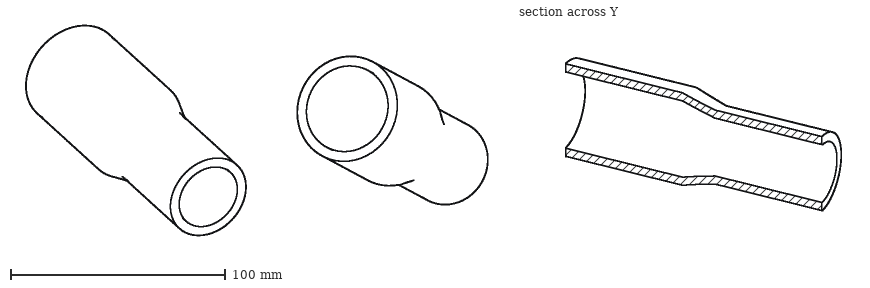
import cadquery as cq

total_length = 134.0
large_length = 61.0
taper_length = 17.0
large_outer_diameter = 50.0
large_bore_diameter = 40.7
small_outer_diameter = 40.0
small_bore_diameter = 30.8

taper_end = large_length + taper_length


def stepped_profile(large_diameter, small_diameter):
    """Solid of two coaxial cylinders joined by a cone, starting at X = 0."""
    large_radius = large_diameter / 2
    small_radius = small_diameter / 2
    return (
        cq.Workplane("XY")
        .moveTo(0, 0)
        .lineTo(0, large_radius)
        .lineTo(large_length, large_radius)
        .lineTo(taper_end, small_radius)
        .lineTo(total_length, small_radius)
        .lineTo(total_length, 0)
        .close()
        .revolve(360, (0, 0, 0), (1, 0, 0))
    )


body = stepped_profile(large_outer_diameter, small_outer_diameter)
bore = stepped_profile(large_bore_diameter, small_bore_diameter)

result = body.cut(bore)